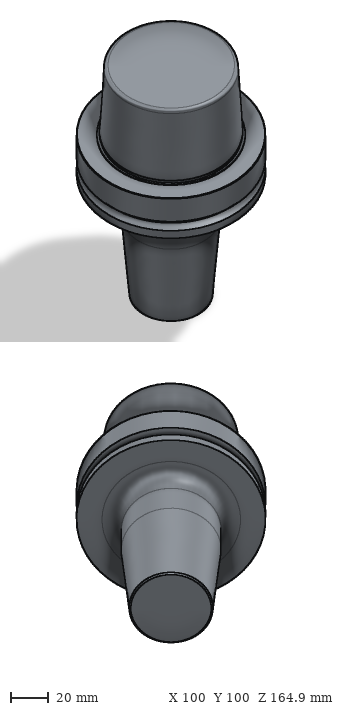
import cadquery as cq

total_height = 164.9
flange_top = 115.0
flange_thickness = 28.7
flange_bottom = flange_top - flange_thickness
nose_taper_top = 56.7

flange_radius = 50.0
groove_root_radius = 45.8
groove_root_bottom = 93.5
groove_root_top = 96.5
groove_side_rise = 1.8
flange_edge_chamfer = 0.3

shank_top_radius = 35.5
shank_base_radius = 38.0
shank_top_fillet = 2.1
collar_height = 2.3
relief_radius = 37.5
relief_height = 1.2
relief_lip = 0.5

recess_radius = 39.2
recess_depth = 0.5

neck_radius = 26.4
neck_fillet = 10.2
nose_tip_radius = 22.1
nose_tip_chamfer = 0.8


def make_flange():
    """Flange disc with a lightly broken upper edge."""
    disc = cq.Workplane("XY").workplane(offset=flange_bottom).circle(flange_radius).extrude(flange_thickness)
    return disc.faces(">Z").edges().chamfer(flange_edge_chamfer)


def make_gripper_groove():
    """Ring with sloped sides that cuts the groove into the flange rim."""
    return (
        cq.Workplane("XZ")
        .moveTo(groove_root_radius, groove_root_bottom)
        .lineTo(flange_radius, groove_root_bottom - groove_side_rise)
        .lineTo(flange_radius, groove_root_top + groove_side_rise)
        .lineTo(groove_root_radius, groove_root_top)
        .close()
        .revolve(360, (0, 0, 0), (0, 1, 0))
    )


def make_face_recess():
    """Thin ring removed from the flange face next to the shank."""
    return (
        cq.Workplane("XY")
        .workplane(offset=flange_top - recess_depth)
        .circle(recess_radius)
        .circle(relief_radius)
        .extrude(recess_depth)
    )


def make_shank():
    """Cone with a rounded top edge and a small relief at its base."""
    cone_base = flange_top + collar_height
    relief_top = flange_top + relief_height
    shank = (
        cq.Workplane("XZ")
        .moveTo(0, flange_bottom)
        .lineTo(relief_radius, flange_bottom)
        .lineTo(relief_radius, relief_top)
        .lineTo(shank_base_radius, relief_top + relief_lip)
        .lineTo(shank_base_radius, cone_base)
        .lineTo(shank_top_radius, total_height)
        .lineTo(0, total_height)
        .close()
        .revolve(360, (0, 0, 0), (0, 1, 0))
    )
    return shank.faces(">Z").edges().fillet(shank_top_fillet)


def make_neck_and_nose():
    """Cylindrical neck flared into the flange, narrowing to a chamfered tip."""
    body = (
        cq.Workplane("XZ")
        .lineTo(nose_tip_radius, 0)
        .lineTo(neck_radius, nose_taper_top)
        .lineTo(neck_radius, flange_bottom - neck_fillet)
        .radiusArc((neck_radius + neck_fillet, flange_bottom), neck_fillet)
        .lineTo(0, flange_bottom)
        .close()
        .revolve(360, (0, 0, 0), (0, 1, 0))
    )
    return body.faces("<Z").edges().chamfer(nose_tip_chamfer)


flange = make_flange().cut(make_gripper_groove()).cut(make_face_recess())
result = flange.union(make_shank()).union(make_neck_and_nose())